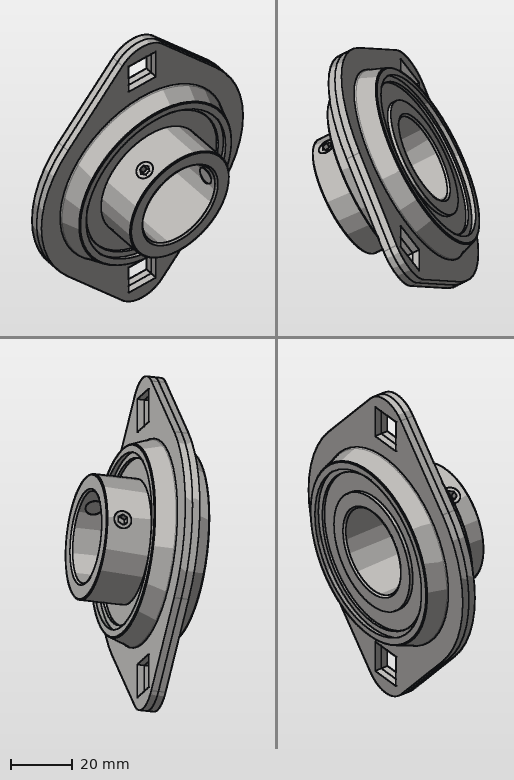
import cadquery as cq
import math


plate_thickness = 2.5
flange_height = 113.0
flange_width = 83.7
lobe_offset = 45.3
lobe_radius = flange_height / 2 - lobe_offset
square_hole = 11.3

seat_half_width = 9.5
seat_base_radius = 34.1
seat_land_radius = 33.8
seat_land_width = 0.5
seat_rim_radius = 31.6
seat_rim_chamfer = 0.3
seat_opening_radius = 28.9
ball_radius = math.hypot(seat_opening_radius, seat_half_width)

bore_radius = 15.0
bore_chamfer = 0.7
collar_radius = 20.6
inner_ring_end = -8.0
collar_end = 22.0
collar_chamfer = 0.3
outer_ring_half_width = 7.7
outer_ring_inner_radius = 27.3
seal_recess = 0.9
seal_half_width = outer_ring_half_width - seal_recess

screw_radius = 2.9
screw_position = 16.5
socket_across_flats = 3.0
socket_across_corners = socket_across_flats / math.cos(math.pi / 6)
socket_depth = 2.8
screw_angles = (0, 120)


def flange_blank(side):
    """Flat two-lobed plate with a square bolt hole in each lobe."""
    big_radius = flange_width / 2
    sine = (big_radius - lobe_radius) / lobe_offset
    cosine = math.sqrt(1 - sine ** 2)
    big_y, big_z = big_radius * cosine, big_radius * sine
    lobe_y, lobe_z = lobe_radius * cosine, lobe_offset + lobe_radius * sine
    plate = (
        cq.Workplane("YZ")
        .moveTo(big_y, -big_z)
        .threePointArc((big_radius, 0), (big_y, big_z))
        .lineTo(lobe_y, lobe_z)
        .threePointArc((0, flange_height / 2), (-lobe_y, lobe_z))
        .lineTo(-big_y, big_z)
        .threePointArc((-big_radius, 0), (-big_y, -big_z))
        .lineTo(-lobe_y, -lobe_z)
        .threePointArc((0, -flange_height / 2), (lobe_y, -lobe_z))
        .close()
        .extrude(side * plate_thickness)
    )
    square_holes = (
        cq.Workplane("YZ")
        .pushPoints([(0, -lobe_offset), (0, lobe_offset)])
        .rect(square_hole, square_hole)
        .extrude(side * plate_thickness)
    )
    return plate.cut(square_holes)


def seat_dome(side):
    """Solid conical dome, with a short land where it leaves the plate."""
    return (
        cq.Workplane("XY")
        .polyline([
            (0, 0),
            (0, seat_base_radius),
            (side * plate_thickness, seat_base_radius),
            (side * (plate_thickness + seat_land_width), seat_land_radius),
            (side * (seat_half_width - seat_rim_chamfer), seat_rim_radius),
            (side * seat_half_width, seat_rim_radius - seat_rim_chamfer),
            (side * seat_half_width, 0),
        ])
        .close()
        .revolve(360, (0, 0, 0), (1, 0, 0))
    )


def ball_cavity(side):
    """Half of the spherical cavity that holds the outer ring, open at the seat rim."""
    mid_angle = math.atan2(seat_half_width, seat_opening_radius) / 2
    arc_middle = (side * ball_radius * math.sin(mid_angle), ball_radius * math.cos(mid_angle))
    return (
        cq.Workplane("XY")
        .moveTo(0, 0)
        .lineTo(0, ball_radius)
        .threePointArc(arc_middle, (side * seat_half_width, seat_opening_radius))
        .lineTo(side * seat_half_width, 0)
        .close()
        .revolve(360, (0, 0, 0), (1, 0, 0))
    )


def flange_plate(side):
    """One pressed plate with its bearing seat, on the side = -1 or +1 of the joint."""
    return flange_blank(side).union(seat_dome(side)).cut(ball_cavity(side))


def screw_plane(angle):
    """Plane on the shaft axis, facing outwards along a set screw."""
    turn = math.radians(angle)
    outward = (0, math.cos(turn), math.sin(turn))
    sideways = (0, -math.sin(turn), math.cos(turn))
    return cq.Plane(origin=(screw_position, 0, 0), xDir=sideways, normal=outward)


def set_screw(angle):
    """Hexagon socket set screw reaching from the bore to the outside of the collar."""
    screw = (
        cq.Workplane(screw_plane(angle))
        .workplane(offset=bore_radius)
        .circle(screw_radius)
        .extrude(collar_radius - bore_radius)
    )
    socket = (
        cq.Workplane(screw_plane(angle))
        .workplane(offset=collar_radius - socket_depth)
        .polygon(6, socket_across_corners)
        .extrude(socket_depth)
    )
    return screw.cut(socket)


def bearing_insert():
    """Bearing with spherical outer ring, recessed seals and extended collar."""
    ring_edge_radius = math.sqrt(ball_radius ** 2 - outer_ring_half_width ** 2)
    insert = (
        cq.Workplane("XY")
        .moveTo(inner_ring_end + bore_chamfer, bore_radius)
        .lineTo(inner_ring_end, bore_radius + bore_chamfer)
        .lineTo(inner_ring_end, collar_radius)
        .lineTo(-seal_half_width, collar_radius)
        .lineTo(-seal_half_width, outer_ring_inner_radius)
        .lineTo(-outer_ring_half_width, outer_ring_inner_radius)
        .lineTo(-outer_ring_half_width, ring_edge_radius)
        .threePointArc((0, ball_radius), (outer_ring_half_width, ring_edge_radius))
        .lineTo(outer_ring_half_width, outer_ring_inner_radius)
        .lineTo(seal_half_width, outer_ring_inner_radius)
        .lineTo(seal_half_width, collar_radius)
        .lineTo(collar_end - collar_chamfer, collar_radius)
        .lineTo(collar_end, collar_radius - collar_chamfer)
        .lineTo(collar_end, bore_radius + bore_chamfer)
        .lineTo(collar_end - bore_chamfer, bore_radius)
        .close()
        .revolve(360, (0, 0, 0), (1, 0, 0))
    )
    for angle in screw_angles:
        screw_hole = cq.Workplane(screw_plane(angle)).circle(screw_radius).extrude(collar_radius)
        insert = insert.cut(screw_hole)
    return insert


plates = [flange_plate(side) for side in (-1, 1)]
insert = bearing_insert()
screws = [set_screw(angle) for angle in screw_angles]

result = cq.Compound.makeCompound(
    [plate.val() for plate in plates] + [insert.val()] + [screw.val() for screw in screws]
)